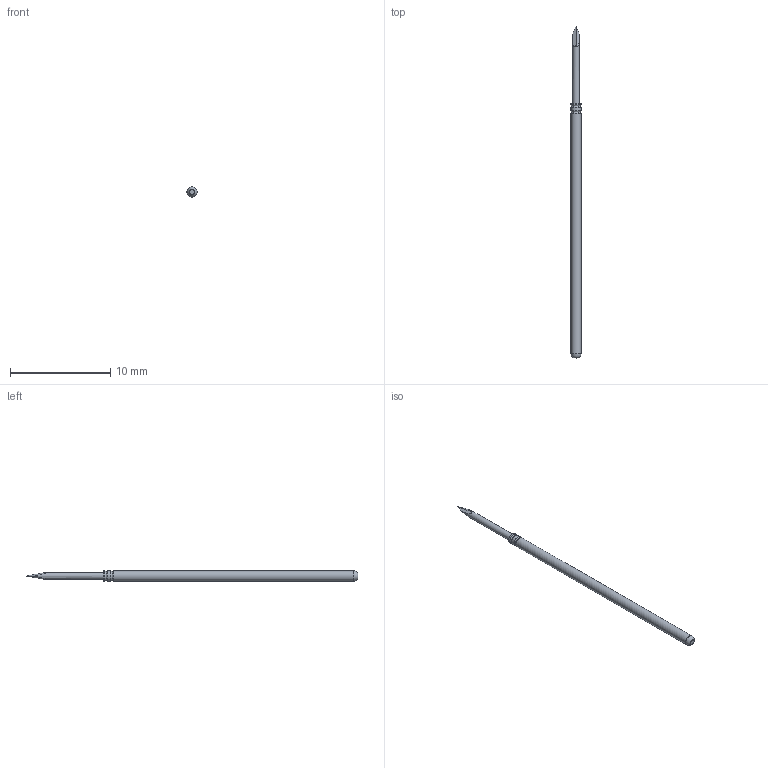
import cadquery as cq
import math

overall_length = 33.1

barrel_radius = 0.51
barrel_length = 25.4
rear_flat_radius = 0.25
rear_dome_length = math.sqrt(barrel_radius**2 - rear_flat_radius**2)

groove_width = 0.25
groove_depth = 0.08
groove_centers = (24.505, 25.105)

plunger_radius = 0.34

side_edge_length = 0.82
ridge_length = 1.9


def make_barrel():
    """Revolve the half outline, drawn as (Y, Z), about the Y axis."""
    dome_mid_angle = math.atan2(rear_dome_length, rear_flat_radius) / 2
    dome_mid = (
        rear_dome_length - barrel_radius * math.sin(dome_mid_angle),
        barrel_radius * math.cos(dome_mid_angle),
    )
    outline = (
        cq.Workplane("YZ")
        .lineTo(0, rear_flat_radius)
        .threePointArc(dome_mid, (rear_dome_length, barrel_radius))
    )
    for center in groove_centers:
        outline = (
            outline.lineTo(center - groove_width / 2, barrel_radius)
            .lineTo(center, barrel_radius - groove_depth)
            .lineTo(center + groove_width / 2, barrel_radius)
        )
    outline = outline.lineTo(barrel_length, barrel_radius).lineTo(barrel_length, 0).close()
    return outline.revolve(360, (0, 0, 0), (1, 0, 0))


def make_plunger_rod():
    """Round rod from the barrel mouth to the tip."""
    outline = (
        cq.Workplane("YZ")
        .moveTo(barrel_length, 0)
        .lineTo(barrel_length, plunger_radius)
        .lineTo(overall_length, plunger_radius)
        .lineTo(overall_length, 0)
        .close()
    )
    return outline.revolve(360, (0, 0, 0), (1, 0, 0))


def make_tip_envelope():
    """Rhombic pyramid with its apex at the tip, long enough to hold the whole plunger rod."""
    length = overall_length - barrel_length
    half_width = length * plunger_radius / side_edge_length
    half_height = length * plunger_radius / ridge_length
    apex = cq.Vector(0, overall_length, 0)
    base = [
        cq.Vector(half_width, barrel_length, 0),
        cq.Vector(0, barrel_length, half_height),
        cq.Vector(-half_width, barrel_length, 0),
        cq.Vector(0, barrel_length, -half_height),
    ]
    outlines = [base]
    for corner, next_corner in zip(base, base[1:] + base[:1]):
        outlines.append([corner, next_corner, apex])
    faces = [cq.Face.makeFromWires(cq.Wire.makePolygon(points, close=True)) for points in outlines]
    return cq.Workplane(cq.Solid.makeSolid(cq.Shell.makeShell(faces)))


plunger = make_plunger_rod().intersect(make_tip_envelope())
result = make_barrel().union(plunger)